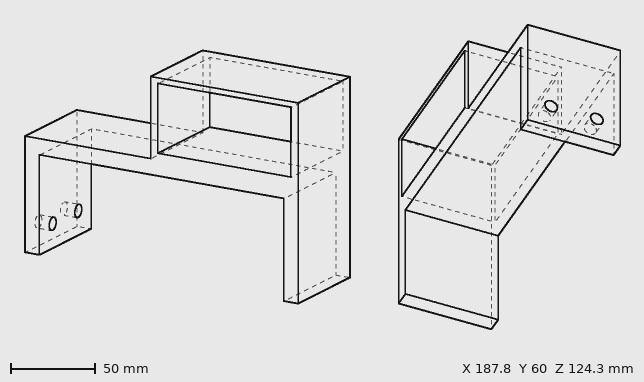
import cadquery as cq

length = 187.8
width = 60.0
height = 124.3

wall = 10.0
shelf_top = 73.5
shelf_underside = shelf_top - wall
left_leg_bottom = 1.5

box_length = 101.4
box_side_wall = 5.0
box_roof = 3.5
box_opening_height = 43.2
box_left = length - box_length

hole_diameter = 8.0
hole_spacing = 29.5
hole_height = 16.7


def make_body():
    """Extrude the stepped bridge outline across the full width, centred on Y = 0."""
    outline = [
        (0, left_leg_bottom),
        (wall, left_leg_bottom),
        (wall, shelf_underside),
        (length - wall, shelf_underside),
        (length - wall, 0),
        (length, 0),
        (length, height),
        (box_left, height),
        (box_left, shelf_top),
        (0, shelf_top),
    ]
    return cq.Workplane("XZ").polyline(outline).close().extrude(width / 2, both=True)


def make_box_opening():
    """Rectangular window that runs through the box from front to back."""
    opening_length = box_length - 2 * box_side_wall
    opening_bottom = height - box_roof - box_opening_height
    return cq.Workplane("XY").box(
        opening_length, width, box_opening_height, centered=(False, True, False)
    ).translate((box_left + box_side_wall, 0, opening_bottom))


def make_leg_holes():
    """Two round holes along X through the left leg only."""
    centres = [(-hole_spacing / 2, hole_height), (hole_spacing / 2, hole_height)]
    return cq.Workplane("YZ").pushPoints(centres).circle(hole_diameter / 2).extrude(wall)


result = make_body().cut(make_box_opening()).cut(make_leg_holes())